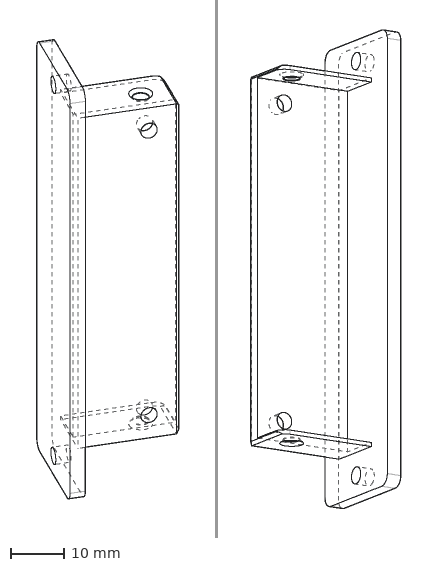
import cadquery as cq

plate_width = 22.2
plate_height = 88.5
plate_thickness = 3.0
plate_corner_radius = 2.0
plate_hole_diameter = 3.3
plate_hole_z = 40.2

total_depth = 23.0
channel_left = -5.4
channel_right = 6.0
channel_height = 71.5
web_thickness = 3.0
flange_thickness = 0.8
flange_corner_radius = 2.0
rear_chamfer = 0.6

bracket_hole_diameter = 3.2
countersink_diameter = 4.5
flange_hole_x = 0.4
bracket_hole_y = 5.5
web_hole_z = 30.8

front_y = -total_depth / 2
rear_y = total_depth / 2
plate_back_y = front_y + plate_thickness
channel_depth = rear_y - plate_back_y
channel_width = channel_right - channel_left
channel_top = channel_height / 2


def make_plate():
    """Upright plate with rounded corners and a mounting hole near each end."""
    plate = cq.Workplane("XY").box(plate_width, plate_thickness, plate_height)
    plate = plate.edges("|Y").fillet(plate_corner_radius)
    plate = (
        plate.faces("<Y").workplane(centerOption="CenterOfBoundBox")
        .pushPoints([(0, -plate_hole_z), (0, plate_hole_z)])
        .hole(plate_hole_diameter)
    )
    return plate.translate((0, front_y + plate_thickness / 2, 0))


def make_channel():
    """Channel open towards -X, with its rear edges broken."""
    block = cq.Workplane("XY").box(
        channel_width, channel_depth, channel_height, centered=(False, False, True)
    )
    chamfered_block = block.faces(">Y").edges("|X or (|Z and >X)").chamfer(rear_chamfer)
    rounded_block = block.edges("|Z and <X and >Y").fillet(flange_corner_radius)
    channel = chamfered_block.intersect(rounded_block)
    opening = cq.Workplane("XY").box(
        channel_width - web_thickness,
        channel_depth,
        channel_height - 2 * flange_thickness,
        centered=(False, False, True),
    )
    return channel.cut(opening).translate((channel_left, plate_back_y, 0))


def make_flange_hole():
    """Vertical hole cutter through both flanges, countersunk from the outer sides."""
    cutter = (
        cq.Workplane("XY").center(flange_hole_x, bracket_hole_y)
        .circle(bracket_hole_diameter / 2).extrude(channel_top, both=True)
    )
    outer_radius = countersink_diameter / 2
    sink_depth = (countersink_diameter - bracket_hole_diameter) / 2
    for side in (-1, 1):
        sink = cq.Solid.makeCone(
            outer_radius,
            bracket_hole_diameter / 2,
            sink_depth,
            pnt=cq.Vector(flange_hole_x, bracket_hole_y, side * channel_top),
            dir=cq.Vector(0, 0, -side),
        )
        cutter = cutter.union(cq.Workplane(obj=sink))
    return cutter


def make_web_holes():
    """Cutters for the two cross holes through the web."""
    return (
        cq.Workplane("YZ", origin=(channel_left, 0, 0))
        .pushPoints([(bracket_hole_y, -web_hole_z), (bracket_hole_y, web_hole_z)])
        .circle(bracket_hole_diameter / 2).extrude(channel_width)
    )


channel = make_channel().cut(make_flange_hole()).cut(make_web_holes())
result = make_plate().union(channel)